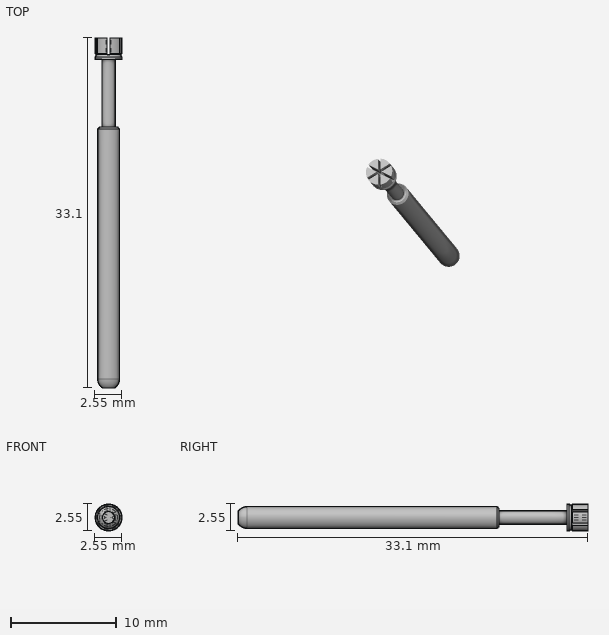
import cadquery as cq
import math

length = 33.1
crown_end = length / 2
tip_end = -length / 2

head_diameter = 2.55
head_radius = head_diameter / 2
prong_length = 1.45
head_length = 2.02
flange_thickness = 0.2
groove_radius = 1.15
slot_width = 0.25
groove_distance = 1.6
slot_depth = groove_distance
slot_count = 3

shaft_diameter = 1.3
shaft_radius = shaft_diameter / 2

barrel_diameter = 2.1
barrel_radius = barrel_diameter / 2
barrel_start = 8.4
barrel_chamfer = 0.2
tip_round_length = 0.85
tip_flat_radius = 0.55

prong_root_y = crown_end - prong_length
head_bottom_y = crown_end - head_length
flange_top_y = head_bottom_y + flange_thickness
groove_y = crown_end - groove_distance
barrel_top_y = crown_end - barrel_start
tip_round_y = tip_end + tip_round_length


def turned_body():
    """Head, shaft and barrel as one profile (radius, y) revolved about the Y axis."""
    tip_drop = barrel_radius - tip_flat_radius
    tip_arc_radius = (tip_round_length**2 + tip_drop**2) / (2 * tip_drop)
    half_sweep = math.asin(tip_round_length / tip_arc_radius) / 2
    tip_arc_middle = (
        barrel_radius - tip_arc_radius * (1 - math.cos(half_sweep)),
        tip_round_y - tip_arc_radius * math.sin(half_sweep),
    )
    profile = (
        cq.Workplane("XY")
        .moveTo(0, crown_end)
        .lineTo(head_radius, crown_end)
        .lineTo(head_radius, prong_root_y)
        .lineTo(groove_radius, groove_y)
        .lineTo(head_radius, flange_top_y)
        .lineTo(head_radius, head_bottom_y)
        .lineTo(shaft_radius, head_bottom_y)
        .lineTo(shaft_radius, barrel_top_y)
        .lineTo(barrel_radius - barrel_chamfer, barrel_top_y)
        .lineTo(barrel_radius, barrel_top_y - barrel_chamfer)
        .lineTo(barrel_radius, tip_round_y)
        .threePointArc(tip_arc_middle, (tip_flat_radius, tip_end))
        .lineTo(0, tip_end)
        .close()
    )
    return profile.revolve(360, (0, 0, 0), (0, 1, 0))


def cut_crown_slots(body):
    """Cut slots across the full head, evenly turned about Y, leaving the prongs."""
    for i in range(slot_count):
        slot = (
            cq.Workplane("XY")
            .box(slot_width, slot_depth, head_diameter)
            .translate((0, crown_end - slot_depth / 2, 0))
            .rotate((0, 0, 0), (0, 1, 0), i * 180 / slot_count)
        )
        body = body.cut(slot)
    return body


result = cut_crown_slots(turned_body())